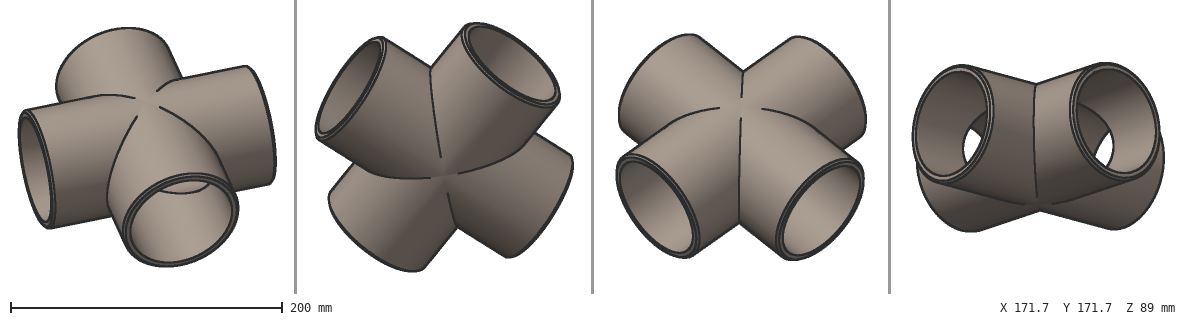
import cadquery as cq

length = 171.7
outer_diameter = 89.0
bore_diameter = 78.3
end_chamfer = 1.7


def along_x_and_y(bar):
    """Join a bar lying along X with its copy turned to lie along Y."""
    return bar.union(bar.rotate((0, 0, 0), (0, 0, 1), 90))


def bar_along_x(diameter):
    return cq.Workplane("YZ").circle(diameter / 2).extrude(length / 2, both=True)


outer_bar = bar_along_x(outer_diameter).faces("<X or >X").edges().chamfer(end_chamfer)
body = along_x_and_y(outer_bar)

bores = along_x_and_y(bar_along_x(bore_diameter))

result = body.cut(bores)